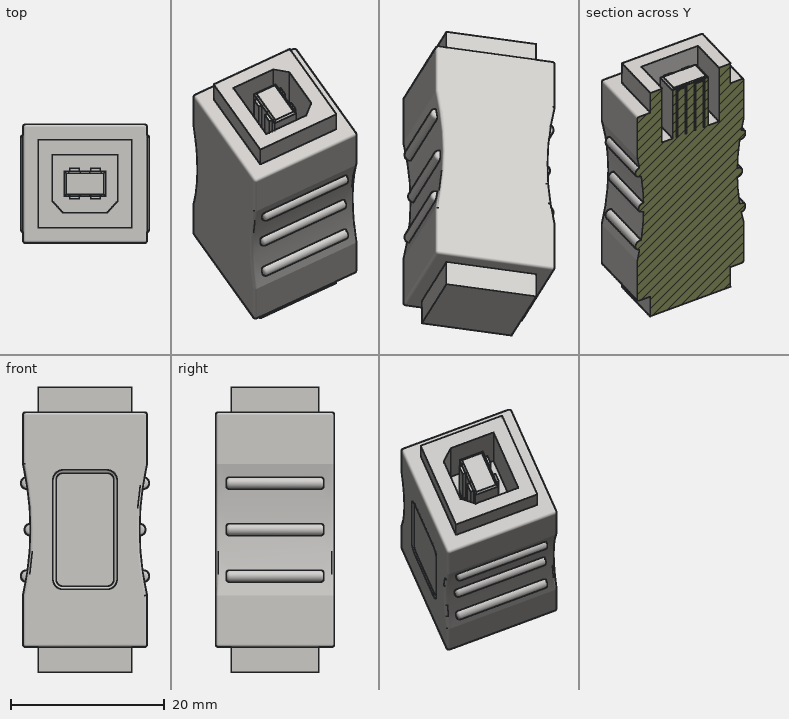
import cadquery as cq
import math

TOTAL_HEIGHT = 37.1
OVERALL_WIDTH = 16.75
BODY_WIDTH = 16.18
BODY_DEPTH = 15.47
BODY_HEIGHT = 30.58
BODY_EDGE_RADIUS = 0.37
END_BLOCK_WIDTH = 12.17
END_BLOCK_DEPTH = 11.43

GRIP_HALF_HEIGHT = 8.55
GRIP_DEPTH = 0.95
GRIP_ARC_RADIUS = (GRIP_HALF_HEIGHT**2 + GRIP_DEPTH**2) / (2 * GRIP_DEPTH)

RIB_RADIUS = 0.78
RIB_LENGTH = 12.7
RIB_SPACING = 6.05
RIB_END_RADIUS = 0.4

RECESS_WIDTH = 8.35
RECESS_HEIGHT = 15.55
RECESS_CORNER_RADIUS = 1.35
RECESS_DEPTH = 0.2
RECESS_WALL_RUN = 0.4

SOCKET_WIDTH = 8.57
SOCKET_SPAN_Y = 7.57
SOCKET_CUT_X = 1.4
SOCKET_CUT_Y = 1.55
SOCKET_DEPTH = 8.9

TONGUE_WIDTH = 5.4
TONGUE_THICKNESS = 3.25
TONGUE_CHAMFER = 0.25
TONGUE_BELOW_RIM = 0.75
CONTACT_WIDTH = 1.2
CONTACT_SPAN_Y = 3.97
CONTACT_SPACING = 2.75
CONTACT_BELOW_RIM = 1.2
CONTACT_GAP = 0.15
GROOVE_DEPTH = 0.25

TOP_Z = TOTAL_HEIGHT / 2
SOCKET_FLOOR_Z = TOP_Z - SOCKET_DEPTH


def grip_surface_x(z):
    """Distance of the concave grip surface from the YZ mid plane at height z."""
    deepest_x = BODY_WIDTH / 2 - GRIP_DEPTH
    return deepest_x + GRIP_ARC_RADIUS - math.sqrt(GRIP_ARC_RADIUS**2 - z**2)


def make_body():
    """Main block, waisted on both X sides, with all edges rounded."""
    half_width = BODY_WIDTH / 2
    half_height = BODY_HEIGHT / 2
    waist_x = half_width - GRIP_DEPTH
    outline = (
        cq.Workplane("XZ")
        .moveTo(-half_width, half_height)
        .lineTo(half_width, half_height)
        .lineTo(half_width, GRIP_HALF_HEIGHT)
        .threePointArc((waist_x, 0), (half_width, -GRIP_HALF_HEIGHT))
        .lineTo(half_width, -half_height)
        .lineTo(-half_width, -half_height)
        .lineTo(-half_width, -GRIP_HALF_HEIGHT)
        .threePointArc((-waist_x, 0), (-half_width, GRIP_HALF_HEIGHT))
        .close()
    )
    block = outline.extrude(BODY_DEPTH / 2, both=True)
    return block.edges("<Y or >Y or (|Y and >Z) or (|Y and <Z)").fillet(BODY_EDGE_RADIUS)


def make_rib(x, z):
    """Round bar along Y with rounded ends."""
    bar = cq.Workplane("XZ").center(x, z).circle(RIB_RADIUS).extrude(RIB_LENGTH / 2, both=True)
    return bar.edges("%CIRCLE").fillet(RIB_END_RADIUS)


def add_ribs(part):
    """Three bars on each X side, their axes following the grip surface."""
    axis_offset = OVERALL_WIDTH / 2 - RIB_RADIUS - grip_surface_x(RIB_SPACING)
    for z in (-RIB_SPACING, 0, RIB_SPACING):
        rib_x = grip_surface_x(z) + axis_offset
        for side in (-1, 1):
            part = part.union(make_rib(side * rib_x, z))
    return part


def make_label_recess():
    """Rounded rectangular pocket narrowing toward its floor."""
    wall_angle = math.degrees(math.atan2(RECESS_WALL_RUN, RECESS_DEPTH))
    opening = cq.Sketch().rect(RECESS_WIDTH, RECESS_HEIGHT).vertices().fillet(RECESS_CORNER_RADIUS)
    return (
        cq.Workplane("XZ", origin=(0, -BODY_DEPTH / 2, 0))
        .placeSketch(opening)
        .extrude(-RECESS_DEPTH, taper=wall_angle)
    )


def make_socket():
    """Pocket going down from the top face."""
    half_x = SOCKET_WIDTH / 2
    half_y = SOCKET_SPAN_Y / 2
    outline = [
        (-half_x, half_y),
        (half_x, half_y),
        (half_x, SOCKET_CUT_Y - half_y),
        (half_x - SOCKET_CUT_X, -half_y),
        (SOCKET_CUT_X - half_x, -half_y),
        (-half_x, SOCKET_CUT_Y - half_y),
    ]
    floor = cq.Workplane("XY").workplane(offset=SOCKET_FLOOR_Z)
    return floor.polyline(outline).close().extrude(SOCKET_DEPTH)


def make_tongue():
    """Chamfered tongue with two contacts set in grooves on each of its Y sides."""
    floor = cq.Workplane("XY").workplane(offset=SOCKET_FLOOR_Z)
    contact_height = SOCKET_DEPTH - CONTACT_BELOW_RIM
    groove_width = CONTACT_WIDTH + 2 * CONTACT_GAP
    groove_centers = [
        (x_side * CONTACT_SPACING / 2, y_side * (TONGUE_THICKNESS - GROOVE_DEPTH) / 2)
        for x_side in (-1, 1)
        for y_side in (-1, 1)
    ]
    contact_centers = [(-CONTACT_SPACING / 2, 0), (CONTACT_SPACING / 2, 0)]

    tongue = floor.rect(TONGUE_WIDTH, TONGUE_THICKNESS).extrude(SOCKET_DEPTH - TONGUE_BELOW_RIM)
    tongue = tongue.faces(">Z").chamfer(TONGUE_CHAMFER)
    grooves = floor.pushPoints(groove_centers).rect(groove_width, GROOVE_DEPTH)
    tongue = tongue.cut(grooves.extrude(contact_height + CONTACT_GAP))
    contacts = floor.pushPoints(contact_centers).rect(CONTACT_WIDTH, CONTACT_SPAN_Y)
    return tongue.union(contacts.extrude(contact_height))


end_blocks = cq.Workplane("XY").box(END_BLOCK_WIDTH, END_BLOCK_DEPTH, TOTAL_HEIGHT)

result = make_body().union(end_blocks)
result = add_ribs(result)
result = result.cut(make_label_recess())
result = result.cut(make_socket())
result = result.union(make_tongue())